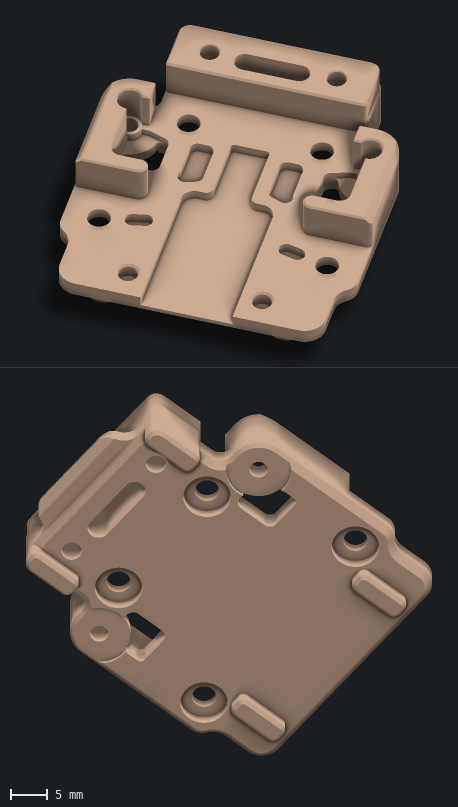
import cadquery as cq
import math

LENGTH = 49.75
WIDTH = 42.1
PLATE_TOP = 3.15
PART_TOP = 8.65
FOOT_BOTTOM = -2.0
UNDER_CHAMFER = 1.0
EDGE_CHAMFER = 0.3

HALF_WIDTH = WIDTH / 2
FRONT_HALF = 18.85
FRONT_RADIUS = 3.0
WAIST_START, WAIST_END = 6.8, 11.1
WAIST_SPLIT = 0.55
SHOULDER_RADIUS = 4.1
SHOULDER_Y = 34.65
NECK_HALF = 14.15
NECK_RADIUS = 2.0
BLOCK_BACK = 46.65
BLOCK_BACK_RADIUS = 1.6

TAB_TIP_HALF, TAB_ROOT_HALF = 6.05, 10.55
TAB_TOP_SETBACK = 0.5

BLOCK_FRONT = 38.35
BLOCK_FRONT_RADIUS = 0.5
FOOT_INNER, FOOT_OUTER = 11.4, 14.35
FOOT_RADIUS = 1.0
FOOT_CHAMFER = 0.5
LEG_FRONT = 38.45
LEG_TOP = 5.05
FOOT_FRONT, FOOT_BACK = 2.0, 10.05
SLOT_LENGTH, SLOT_WIDTH, SLOT_Y = 10.7, 3.0, 41.65
BLOCK_HOLE_X, BLOCK_HOLE_Y, BLOCK_HOLE_D = 9.0, 42.15, 2.75
BLOCK_HOLE_CHAMFER = 0.15

ARM_TIP_X, ARM_TIP_Y = 14.4, 31.55
ARM_TIP_RADIUS = 0.3
ARM_WALL_X = 16.9
ARM_EDGE_CHAMFER = 0.25
ARM_FRONT = 17.7
ARM_CORNER_RADIUS = 0.6
ARM_INNER_RADIUS = 1.5
FINGER_RADIUS = 1.25
FINGER_TIP_X = 11.05
ARM_SIDE_CHAMFER = 1.1
BORE_X, BORE_Y = 17.0, 30.7
BORE_D, BORE_HOLE_D = 3.5, 2.5
BORE_FLOOR = 3.4
RELIEF_D, RELIEF_DEPTH = 8.85, 0.5

WINDOW_INNER_X, WINDOW_OUTER_X, WINDOW_FRONT = 10.95, 16.75, 23.45
WINDOW_BEND_X, WINDOW_SLOPE = 14.15, math.radians(19)
WINDOW_RADIUS = 1.15
WINDOW_SMALL_RADIUS = 0.75
SHELF_D, SHELF_Z = 8.45, 2.05

CHANNEL_FLOOR = 1.65
CHANNEL_HALF, CHANNEL_SHOULDER_Y = 6.5, 21.5
CHANNEL_NECK_HALF, CHANNEL_END = 2.75, 31.35
CHANNEL_OUTER_RADIUS, CHANNEL_INNER_RADIUS, CHANNEL_END_RADIUS = 2.0, 1.0, 0.45

POCKET_FLOOR = 1.6
POCKET_INNER, POCKET_OUTER, POCKET_BACK = 4.65, 8.0, 30.2
POCKET_RADIUS = 1.1
POCKET_SLANT = math.radians(20)
POCKET_LOBE_X, POCKET_LOBE_Y = 7.05, 23.7
SLIT_X, SLIT_Y, SLIT_LENGTH, SLIT_WIDTH, SLIT_ANGLE = 10.85, 14.0, 3.9, 2.15, -13.0

SCREW_D, HEAD_D, HEAD_DEPTH = 3.3, 6.45, 1.6
SCREW_POINTS = [(9.45, 33.5), (16.15, 12.9)]
BLIND_X, BLIND_Y, BLIND_D, BLIND_DEPTH = 9.5, 4.1, 2.75, 2.1
BLIND_CHAMFER = 0.3

EDGE_REACH = 0.025


def level(z):
    return cq.Workplane("XY", origin=(0, 0, z))


def both_sides(solid):
    """The solid together with its mirror image about X = 0."""
    return solid.union(solid.mirror("YZ"))


def box(x0, x1, y0, y1, z0, z1):
    return level(z0).center(x0, y0).rect(x1 - x0, y1 - y0, centered=False).extrude(z1 - z0)


def cylinder(x, y, diameter, bottom, top):
    return level(bottom).center(x, y).circle(diameter / 2).extrude(top - bottom)


def countersunk(x, y, diameter, bottom, top, chamfer):
    """A hole cutter that flares outwards by `chamfer` at its top."""
    hole = cylinder(x, y, diameter, bottom, top)
    mouth = (
        level(top - chamfer)
        .center(x, y)
        .circle(diameter / 2)
        .workplane(offset=chamfer)
        .circle(diameter / 2 + chamfer)
        .loft()
    )
    return hole.union(mouth)


def round_corner(solid, x, y, radius):
    """Fillet the upright edge of a prism that stands at (x, y)."""
    here = cq.selectors.BoxSelector(
        (x - EDGE_REACH, y - EDGE_REACH, FOOT_BOTTOM - 0.5),
        (x + EDGE_REACH, y + EDGE_REACH, PART_TOP + 0.5),
    )
    return solid.edges("|Z").edges(here).fillet(radius)


def between(start, end, share):
    return tuple(a + share * (b - a) for a, b in zip(start, end))


def plate():
    waist_start, waist_end = (FRONT_HALF, WAIST_START), (HALF_WIDTH, WAIST_END)
    half = (
        level(0)
        .lineTo(FRONT_HALF - FRONT_RADIUS, 0)
        .tangentArcPoint((FRONT_HALF, FRONT_RADIUS), relative=False)
        .lineTo(*waist_start)
        .tangentArcPoint(between(waist_start, waist_end, WAIST_SPLIT), relative=False)
        .tangentArcPoint(waist_end, relative=False)
        .lineTo(HALF_WIDTH, SHOULDER_Y - SHOULDER_RADIUS)
        .tangentArcPoint((HALF_WIDTH - SHOULDER_RADIUS, SHOULDER_Y), relative=False)
        .lineTo(NECK_HALF + NECK_RADIUS, SHOULDER_Y)
        .tangentArcPoint((NECK_HALF, SHOULDER_Y + NECK_RADIUS), relative=False)
        .lineTo(NECK_HALF, BLOCK_BACK - BLOCK_BACK_RADIUS)
        .tangentArcPoint((NECK_HALF - BLOCK_BACK_RADIUS, BLOCK_BACK), relative=False)
        .lineTo(0, BLOCK_BACK)
        .close()
        .extrude(PLATE_TOP)
    )
    return both_sides(half).faces("<Z").edges().chamfer(UNDER_CHAMFER)


def tab():
    tip, root = (TAB_TIP_HALF, LENGTH), (TAB_ROOT_HALF, BLOCK_BACK)
    half = (
        level(UNDER_CHAMFER)
        .moveTo(0, BLOCK_FRONT)
        .lineTo(0, LENGTH)
        .lineTo(*tip)
        .tangentArcPoint(between(tip, root, 0.5), relative=False)
        .tangentArcPoint(root, relative=False)
        .lineTo(TAB_ROOT_HALF, BLOCK_FRONT)
        .close()
        .extrude(PLATE_TOP - UNDER_CHAMFER)
    )
    profile = (
        cq.Workplane("YZ")
        .polyline([
            (BLOCK_FRONT, UNDER_CHAMFER),
            (LENGTH - UNDER_CHAMFER, UNDER_CHAMFER),
            (LENGTH, 2 * UNDER_CHAMFER),
            (LENGTH, PLATE_TOP - EDGE_CHAMFER),
            (LENGTH - TAB_TOP_SETBACK, PLATE_TOP),
            (BLOCK_FRONT, PLATE_TOP),
        ])
        .close()
        .extrude(HALF_WIDTH, both=True)
    )
    return both_sides(half).intersect(profile)


def rear_block():
    block = box(-NECK_HALF, NECK_HALF, BLOCK_FRONT, BLOCK_BACK, UNDER_CHAMFER, PART_TOP)
    for x in (-NECK_HALF, NECK_HALF):
        block = round_corner(block, x, BLOCK_FRONT, BLOCK_FRONT_RADIUS)
        block = round_corner(block, x, BLOCK_BACK, BLOCK_BACK_RADIUS)
    return block.faces(">Z").edges().chamfer(EDGE_CHAMFER)


def foot(front, back, top, outer_back_radius):
    pad = box(FOOT_INNER, FOOT_OUTER, front, back, FOOT_BOTTOM, top)
    for x, y in [(FOOT_INNER, front), (FOOT_OUTER, front), (FOOT_INNER, back)]:
        pad = round_corner(pad, x, y, FOOT_RADIUS)
    pad = round_corner(pad, FOOT_OUTER, back, outer_back_radius)
    return both_sides(pad.faces("<Z").edges().chamfer(FOOT_CHAMFER))


def arms():
    finger_back = ARM_FRONT + 2 * FINGER_RADIUS
    arm = (
        level(PLATE_TOP)
        .moveTo(ARM_TIP_X, SHOULDER_Y)
        .lineTo(HALF_WIDTH - SHOULDER_RADIUS, SHOULDER_Y)
        .tangentArcPoint((HALF_WIDTH, SHOULDER_Y - SHOULDER_RADIUS), relative=False)
        .lineTo(HALF_WIDTH, ARM_FRONT)
        .lineTo(FINGER_TIP_X + FINGER_RADIUS, ARM_FRONT)
        .tangentArcPoint((FINGER_TIP_X + FINGER_RADIUS, finger_back), relative=False)
        .lineTo(ARM_WALL_X, finger_back)
        .lineTo(ARM_WALL_X, ARM_TIP_Y)
        .lineTo(ARM_TIP_X, ARM_TIP_Y)
        .close()
        .extrude(PART_TOP - PLATE_TOP)
    )
    arm = round_corner(arm, HALF_WIDTH, ARM_FRONT, ARM_CORNER_RADIUS)
    arm = round_corner(arm, ARM_WALL_X, finger_back, ARM_INNER_RADIUS)
    arm = round_corner(arm, ARM_TIP_X, ARM_TIP_Y, ARM_TIP_RADIUS)
    arm = round_corner(arm, ARM_TIP_X, SHOULDER_Y, ARM_TIP_RADIUS)
    arm = arm.cut(cylinder(BORE_X, BORE_Y, BORE_D, PLATE_TOP, PART_TOP))
    arm = arm.faces(">Z").edges().chamfer(ARM_EDGE_CHAMFER)
    side_bevel = (
        cq.Workplane("XZ")
        .polyline([
            (HALF_WIDTH - ARM_SIDE_CHAMFER, PART_TOP),
            (HALF_WIDTH, PART_TOP),
            (HALF_WIDTH, PART_TOP - ARM_SIDE_CHAMFER),
        ])
        .close()
        .extrude(-LENGTH)
    )
    collar = cylinder(BORE_X, BORE_Y, BORE_D, PLATE_TOP, BORE_FLOOR)
    return both_sides(arm.cut(side_bevel).union(collar))


def channel():
    half = (
        level(CHANNEL_FLOOR)
        .polyline([
            (0, 0),
            (CHANNEL_HALF, 0),
            (CHANNEL_HALF, CHANNEL_SHOULDER_Y),
            (CHANNEL_NECK_HALF, CHANNEL_SHOULDER_Y),
            (CHANNEL_NECK_HALF, CHANNEL_END),
            (0, CHANNEL_END),
        ])
        .close()
        .extrude(PLATE_TOP - CHANNEL_FLOOR)
    )
    half = round_corner(half, CHANNEL_HALF, CHANNEL_SHOULDER_Y, CHANNEL_OUTER_RADIUS)
    half = round_corner(half, CHANNEL_NECK_HALF, CHANNEL_SHOULDER_Y, CHANNEL_INNER_RADIUS)
    half = round_corner(half, CHANNEL_NECK_HALF, CHANNEL_END, CHANNEL_END_RADIUS)
    return both_sides(half)


def window_prism(bottom, top):
    drop = (WINDOW_BEND_X - WINDOW_INNER_X) * math.tan(WINDOW_SLOPE)
    inner_back = BORE_Y - drop
    prism = (
        level(bottom)
        .polyline([
            (WINDOW_INNER_X, WINDOW_FRONT),
            (WINDOW_OUTER_X, WINDOW_FRONT),
            (WINDOW_OUTER_X, BORE_Y),
            (WINDOW_BEND_X, BORE_Y),
            (WINDOW_INNER_X, inner_back),
        ])
        .close()
        .extrude(top - bottom)
    )
    prism = round_corner(prism, WINDOW_INNER_X, WINDOW_FRONT, WINDOW_RADIUS)
    prism = round_corner(prism, WINDOW_INNER_X, inner_back, WINDOW_RADIUS)
    return round_corner(prism, WINDOW_OUTER_X, WINDOW_FRONT, WINDOW_SMALL_RADIUS)


def windows():
    post = cylinder(BORE_X, BORE_Y, BORE_D, SHELF_Z, PLATE_TOP)
    shelf = cylinder(BORE_X, BORE_Y, SHELF_D, 0, SHELF_Z)
    opening = window_prism(0, SHELF_Z).cut(shelf)

    shelf_radius = SHELF_D / 2
    outer_corner_y = BORE_Y - math.sqrt(shelf_radius**2 - (BORE_X - WINDOW_OUTER_X) ** 2)
    bend_to_bore = BORE_X - WINDOW_BEND_X
    half_chord = math.sqrt(shelf_radius**2 - (bend_to_bore * math.sin(WINDOW_SLOPE)) ** 2)
    along_slope = half_chord - bend_to_bore * math.cos(WINDOW_SLOPE)
    back_corner_x = WINDOW_BEND_X - along_slope * math.cos(WINDOW_SLOPE)
    back_corner_y = BORE_Y - along_slope * math.sin(WINDOW_SLOPE)
    opening = round_corner(opening, WINDOW_OUTER_X, outer_corner_y, WINDOW_SMALL_RADIUS)
    opening = round_corner(opening, back_corner_x, back_corner_y, WINDOW_SMALL_RADIUS)

    recess = window_prism(SHELF_Z, PLATE_TOP).cut(post)
    return both_sides(recess.union(opening))


def long_pockets():
    tangent_x = POCKET_LOBE_X - POCKET_RADIUS * math.sin(POCKET_SLANT)
    tangent_y = POCKET_LOBE_Y - POCKET_RADIUS * math.cos(POCKET_SLANT)
    inner_y = tangent_y + (tangent_x - POCKET_INNER) * math.tan(POCKET_SLANT)
    body = (
        level(POCKET_FLOOR)
        .polyline([
            (POCKET_INNER, POCKET_BACK),
            (POCKET_OUTER, POCKET_BACK),
            (POCKET_OUTER, POCKET_LOBE_Y),
            (POCKET_LOBE_X, POCKET_LOBE_Y),
            (tangent_x, tangent_y),
            (POCKET_INNER, inner_y),
        ])
        .close()
        .extrude(PLATE_TOP - POCKET_FLOOR)
    )
    for x, y in [(POCKET_INNER, POCKET_BACK), (POCKET_OUTER, POCKET_BACK), (POCKET_INNER, inner_y)]:
        body = round_corner(body, x, y, POCKET_RADIUS)
    lobe = cylinder(POCKET_LOBE_X, POCKET_LOBE_Y, 2 * POCKET_RADIUS, POCKET_FLOOR, PLATE_TOP)
    return both_sides(body.union(lobe))


def slits():
    sketch = level(POCKET_FLOOR).center(SLIT_X, SLIT_Y)
    return both_sides(sketch.slot2D(SLIT_LENGTH, SLIT_WIDTH, SLIT_ANGLE).extrude(PLATE_TOP - POCKET_FLOOR))


def plate_holes():
    holes = countersunk(BLIND_X, BLIND_Y, BLIND_D, PLATE_TOP - BLIND_DEPTH, PLATE_TOP, BLIND_CHAMFER)
    for x, y in SCREW_POINTS:
        holes = holes.union(cylinder(x, y, SCREW_D, 0, PLATE_TOP))
        holes = holes.union(cylinder(x, y, HEAD_D, 0, HEAD_DEPTH))
    holes = holes.union(cylinder(BORE_X, BORE_Y, BORE_HOLE_D, 0, BORE_FLOOR))
    holes = holes.union(cylinder(BORE_X, BORE_Y, RELIEF_D, 0, RELIEF_DEPTH))
    return both_sides(holes)


def block_openings():
    slot = level(0).center(0, SLOT_Y).slot2D(SLOT_LENGTH, SLOT_WIDTH).extrude(PART_TOP)
    hole = countersunk(BLOCK_HOLE_X, BLOCK_HOLE_Y, BLOCK_HOLE_D, 0, PART_TOP, BLOCK_HOLE_CHAMFER)
    return both_sides(hole).union(slot)


front_feet = foot(FOOT_FRONT, FOOT_BACK, UNDER_CHAMFER, FOOT_RADIUS)
rear_legs = foot(LEG_FRONT, BLOCK_BACK, LEG_TOP, BLOCK_BACK_RADIUS)

result = plate().union(tab()).union(rear_block()).union(arms())
for recess in (channel(), windows(), long_pockets(), slits(), plate_holes(), block_openings()):
    result = result.cut(recess)
result = result.union(front_feet).union(rear_legs)